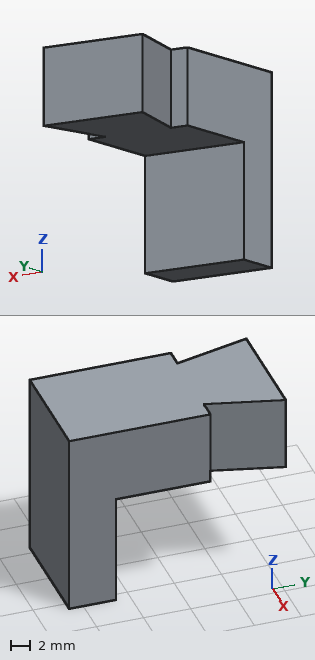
import cadquery as cq

width = 12.0
length = 23.0
height = 20.0

arm_thickness = 8.0
leg_thickness = 5.0
dovetail_length = 8.0
neck_width = 8.0

arm_length = length - dovetail_length
half_width = width / 2
half_neck = neck_width / 2


def make_arm():
    """Horizontal arm with a dovetail that flares toward +Y, top face at Z = height."""
    outline = [
        (-half_width, 0),
        (half_width, 0),
        (half_width, arm_length),
        (half_neck, arm_length),
        (half_width, length),
        (-half_width, length),
        (-half_neck, arm_length),
        (-half_width, arm_length),
    ]
    arm_bottom = height - arm_thickness
    return cq.Workplane("XY").workplane(offset=arm_bottom).polyline(outline).close().extrude(arm_thickness)


def make_leg():
    """Full-height upright at the -Y end of the arm."""
    return cq.Workplane("XY").box(width, leg_thickness, height, centered=(True, False, False))


result = make_arm().union(make_leg()).clean()